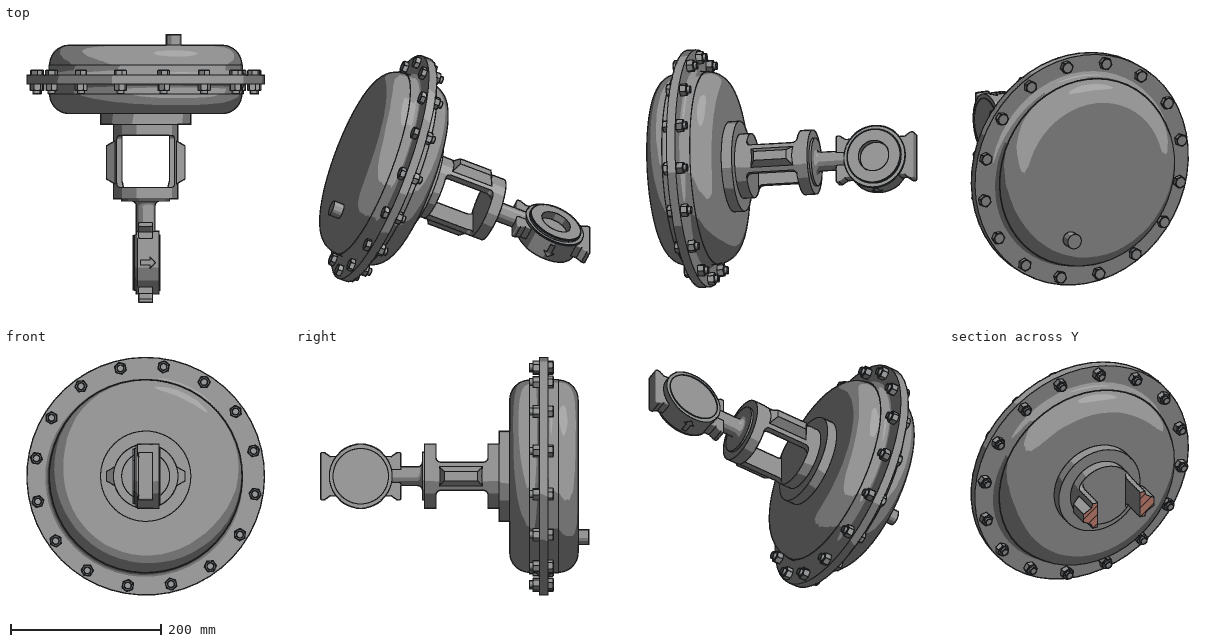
import cadquery as cq
import math


ARC_MIDPOINT = math.sqrt(0.5)

NIPPLE_END_Y = 303.98
CASING_TOP_Y = 289.9
FLANGE_TOP_Y = 249.8
FLANGE_BOTTOM_Y = 238.1
CASING_BOTTOM_Y = 198.5
PAD_END_Y = 184.3
WINDOW_TOP_Y = 169.5
WINDOW_BOTTOM_Y = 100.5
YOKE_END_Y = 84.9
BOSS_END_Y = 82.0

FLANGE_DIAMETER = 317.01
COLLAR_RADIUS = 129.1
DOME_OUTER_RADIUS = 128.3
DOME_ARC_RADIUS = 26.5
NECK_FILLET = 6.3
CASING_CLOCKING = 13.2

BOLT_COUNT = 16
BOLT_CIRCLE_RADIUS = 147.7
BOLT_DIAMETER = 9.525
BOLT_END_CHAMFER = 0.5
HEX_ACROSS_FLATS = 14.29
HEX_HALF_ANGLE = math.pi / 6
HEX_CHAMFER_ANGLE = math.radians(30)
HEX_CHAMFER_RATIO = 0.95
HEAD_HEIGHT = 6.8
HEAD_TURN = 30.0
NUT_HEIGHT = 8.8
BOLT_PROJECTION = 13.4

NIPPLE_RADIUS = 10.0
NIPPLE_X = 37.3
NIPPLE_Z = -81.1

PAD_RADIUS = 60.2
YOKE_RADIUS = 43.0
BOSS_RADIUS = 32.0
STRUT_HALF_WIDTH = 18.9
STRUT_INNER_X = 31.4
WINDOW_FILLET = 6.0
CORNER_WIDTH = 2.0
CORNER_RISE = 8.0
LUG_CENTER_Y = 133.6
LUG_LENGTH = 57.5
LUG_WIDTH = 25.4
LUG_BASE_X = 41.1
LUG_END_X = 52.5
LUG_DRAFT = 30.0

STEM_RADIUS = 12.7
STEM_FILLET = 6.0

BODY_RADIUS = 41.9
RIM_RADIUS = 42.8
RIM_START_X = -11.0
RIM_HALF_WIDTH = 26.6
RIM_FOOT_Y = 32.4
BODY_START_X = -12.6
BODY_END_X = 17.8
BORE_RADIUS = 20.8
BORE_DEPTH = 11.2
SEAT_RADIUS = 37.0
SEAT_LIP_RADIUS = 36.2
SEAT_LIP_HEIGHT = 1.7
SEAT_START_X = -16.9
SEAT_END_X = 18.9

EAR_THICKNESS = 18.6
EAR_END_Y = 53.4
EAR_HALF_HEIGHT = 31.8
EAR_CORNER_FILLET = 2.2
EAR_FOOT_Y = 48.5
EAR_NECK_Y = 40.9
EAR_NECK_HALF_HEIGHT = 26.5
EAR_EDGE_FILLET = 1.3

ARROW_TAIL_X = -6.6
ARROW_NECK_X = 5.8
ARROW_TIP_X = 13.1
ARROW_SHAFT_HALF_WIDTH = 3.3
ARROW_HEAD_HALF_WIDTH = 7.5
ARROW_HEIGHT = 0.3


def disc(start_y, end_y, radius, x=0.0, z=0.0):
    """Solid cylinder along Y between two stations."""
    return cq.Workplane("XZ", origin=(x, start_y, z)).circle(radius).extrude(start_y - end_y)


def make_casing():
    """Two domed halves joined by a common flange, revolved about Y."""
    flange_radius = FLANGE_DIAMETER / 2
    flat_radius = DOME_OUTER_RADIUS - DOME_ARC_RADIUS
    foot_radius = COLLAR_RADIUS + NECK_FILLET
    dome_mid = DOME_ARC_RADIUS * ARC_MIDPOINT
    neck_mid = NECK_FILLET * ARC_MIDPOINT
    dome_mid_radius = flat_radius + dome_mid
    neck_mid_radius = foot_radius - neck_mid
    upper_arc_y = CASING_TOP_Y - DOME_ARC_RADIUS
    lower_arc_y = CASING_BOTTOM_Y + DOME_ARC_RADIUS
    upper_neck_y = FLANGE_TOP_Y + NECK_FILLET
    lower_neck_y = FLANGE_BOTTOM_Y - NECK_FILLET
    profile = (
        cq.Workplane("XY")
        .moveTo(0, CASING_BOTTOM_Y)
        .lineTo(flat_radius, CASING_BOTTOM_Y)
        .threePointArc((dome_mid_radius, lower_arc_y - dome_mid), (DOME_OUTER_RADIUS, lower_arc_y))
        .lineTo(COLLAR_RADIUS, lower_arc_y)
        .lineTo(COLLAR_RADIUS, lower_neck_y)
        .threePointArc((neck_mid_radius, lower_neck_y + neck_mid), (foot_radius, FLANGE_BOTTOM_Y))
        .lineTo(flange_radius, FLANGE_BOTTOM_Y)
        .lineTo(flange_radius, FLANGE_TOP_Y)
        .lineTo(foot_radius, FLANGE_TOP_Y)
        .threePointArc((neck_mid_radius, upper_neck_y - neck_mid), (COLLAR_RADIUS, upper_neck_y))
        .lineTo(COLLAR_RADIUS, upper_arc_y)
        .lineTo(DOME_OUTER_RADIUS, upper_arc_y)
        .threePointArc((dome_mid_radius, upper_arc_y + dome_mid), (flat_radius, CASING_TOP_Y))
        .lineTo(0, CASING_TOP_Y)
        .close()
    )
    casing = profile.revolve(360, (0, 0, 0), (0, 1, 0))
    return casing.rotate((0, 0, 0), (0, 1, 0), -CASING_CLOCKING)


def hexagon(start_y, height, chamfered_face):
    """Hexagonal prism along -Y, one end trimmed by a shallow cone."""
    across_corners = HEX_ACROSS_FLATS / math.cos(HEX_HALF_ANGLE)
    prism = cq.Workplane("XZ", origin=(0, start_y, 0)).polygon(6, across_corners).extrude(height)
    drop = (across_corners - HEX_CHAMFER_RATIO * HEX_ACROSS_FLATS) / 2
    blank = disc(start_y, start_y - height, across_corners / 2)
    blank = blank.faces(chamfered_face).chamfer(drop * math.tan(HEX_CHAMFER_ANGLE), drop)
    return prism.intersect(blank)


def make_bolt():
    """Bolt head above the flange, nut and threaded end below it."""
    head = hexagon(FLANGE_TOP_Y + HEAD_HEIGHT, HEAD_HEIGHT, ">Y")
    head = head.rotate((0, 0, 0), (0, 1, 0), HEAD_TURN)
    nut = hexagon(FLANGE_BOTTOM_Y, NUT_HEIGHT, "<Y")
    shank = disc(FLANGE_TOP_Y, FLANGE_BOTTOM_Y - BOLT_PROJECTION, BOLT_DIAMETER / 2)
    shank = shank.faces("<Y").chamfer(BOLT_END_CHAMFER)
    return shank.union(head).union(nut).translate((BOLT_CIRCLE_RADIUS, 0, 0))


def make_yoke():
    """Mounting pad and cylindrical yoke with a through window between two struts."""
    yoke = disc(CASING_BOTTOM_Y, PAD_END_Y, PAD_RADIUS)
    yoke = yoke.union(disc(PAD_END_Y, YOKE_END_Y, YOKE_RADIUS))

    window_height = WINDOW_TOP_Y - WINDOW_BOTTOM_Y
    window_y = (WINDOW_TOP_Y + WINDOW_BOTTOM_Y) / 2
    opening_outline = [
        (-STRUT_INNER_X, WINDOW_TOP_Y),
        (-STRUT_INNER_X, WINDOW_BOTTOM_Y + CORNER_RISE),
        (CORNER_WIDTH - STRUT_INNER_X, WINDOW_BOTTOM_Y),
        (STRUT_INNER_X - CORNER_WIDTH, WINDOW_BOTTOM_Y),
        (STRUT_INNER_X, WINDOW_BOTTOM_Y + CORNER_RISE),
        (STRUT_INNER_X, WINDOW_TOP_Y),
    ]
    opening = cq.Workplane("XY").polyline(opening_outline).close().extrude(YOKE_RADIUS, both=True)
    yoke = yoke.cut(opening)

    for side in (1, -1):
        relief = cq.Workplane("XY").box(2 * YOKE_RADIUS, window_height, YOKE_RADIUS)
        inner_face = "<Z" if side > 0 else ">Z"
        relief = relief.faces(inner_face).edges("|X").fillet(WINDOW_FILLET)
        relief_z = side * (STRUT_HALF_WIDTH + YOKE_RADIUS / 2)
        yoke = yoke.cut(relief.translate((0, window_y, relief_z)))

    return yoke.union(make_lugs())


def make_lugs():
    """Drafted rectangular lugs on the outside of the two struts."""
    lug = (
        cq.Workplane("YZ", origin=(LUG_BASE_X, LUG_CENTER_Y, 0))
        .rect(LUG_LENGTH, LUG_WIDTH)
        .extrude(LUG_END_X - LUG_BASE_X, taper=LUG_DRAFT)
    )
    root = (
        cq.Workplane("YZ", origin=(STRUT_INNER_X, LUG_CENTER_Y, 0))
        .rect(LUG_LENGTH, LUG_WIDTH)
        .extrude(LUG_BASE_X - STRUT_INNER_X)
    )
    lug = lug.union(root)
    return lug.union(lug.mirror("YZ"))


def make_stem():
    """End boss of the yoke and the stem running down into the valve body."""
    stem_end_y = BORE_RADIUS + BORE_DEPTH
    fillet_mid = STEM_FILLET * (1 - ARC_MIDPOINT)
    profile = (
        cq.Workplane("XY")
        .moveTo(0, YOKE_END_Y)
        .lineTo(BOSS_RADIUS, YOKE_END_Y)
        .lineTo(BOSS_RADIUS, BOSS_END_Y)
        .lineTo(STEM_RADIUS + STEM_FILLET, BOSS_END_Y)
        .threePointArc(
            (STEM_RADIUS + fillet_mid, BOSS_END_Y - fillet_mid),
            (STEM_RADIUS, BOSS_END_Y - STEM_FILLET),
        )
        .lineTo(STEM_RADIUS, stem_end_y)
        .lineTo(0, stem_end_y)
        .close()
    )
    return profile.revolve(360, (0, 0, 0), (0, 1, 0))


def make_ear():
    """Flared mounting ear on the stem side, rounded along its outline."""
    outline = [
        (0, EAR_NECK_HALF_HEIGHT),
        (EAR_NECK_Y, EAR_NECK_HALF_HEIGHT),
        (EAR_FOOT_Y, EAR_HALF_HEIGHT),
        (EAR_END_Y, EAR_HALF_HEIGHT),
    ]
    mirrored = [(y, -z) for y, z in reversed(outline)]
    ear = cq.Workplane("YZ", origin=(-EAR_THICKNESS / 2, 0, 0)).polyline(outline + mirrored).close()
    ear = ear.extrude(EAR_THICKNESS)
    ear = ear.faces(">Y").edges("|X").fillet(EAR_CORNER_FILLET)
    return ear.faces("<X or >X").edges().fillet(EAR_EDGE_FILLET)


def make_rim():
    """Raised rim on top of the valve body, falling off along flats to the body cylinder."""
    edge_z = math.sqrt(RIM_RADIUS ** 2 - RIM_HALF_WIDTH ** 2)
    foot_z = math.sqrt(BODY_RADIUS ** 2 - RIM_FOOT_Y ** 2)
    return (
        cq.Workplane("YZ", origin=(RIM_START_X, 0, 0))
        .moveTo(-RIM_FOOT_Y, foot_z)
        .lineTo(-RIM_HALF_WIDTH, edge_z)
        .threePointArc((0, RIM_RADIUS), (RIM_HALF_WIDTH, edge_z))
        .lineTo(RIM_FOOT_Y, foot_z)
        .close()
        .extrude(BODY_END_X - RIM_START_X)
    )


def make_arrow():
    """Flow arrow pointing to +X, raised from the top rim of the valve body."""
    upper_edge = [
        (ARROW_TAIL_X, ARROW_SHAFT_HALF_WIDTH),
        (ARROW_NECK_X, ARROW_SHAFT_HALF_WIDTH),
        (ARROW_NECK_X, ARROW_HEAD_HALF_WIDTH),
    ]
    lower_edge = [(x, -y) for x, y in reversed(upper_edge)]
    outline = upper_edge + [(ARROW_TIP_X, 0)] + lower_edge
    arrow = cq.Workplane("XY").polyline(outline).close().extrude(2 * RIM_RADIUS)
    envelope = (
        cq.Workplane("YZ", origin=(RIM_START_X, 0, 0))
        .circle(RIM_RADIUS + ARROW_HEIGHT)
        .extrude(BODY_END_X - RIM_START_X)
    )
    return arrow.intersect(envelope)


def make_valve():
    """Wafer valve body with stepped seats, raised rims with flow arrows and two ears."""
    half_profile = [
        (SEAT_START_X, 0),
        (SEAT_START_X, SEAT_LIP_RADIUS),
        (SEAT_START_X + SEAT_LIP_HEIGHT, SEAT_LIP_RADIUS),
        (SEAT_START_X + SEAT_LIP_HEIGHT, SEAT_RADIUS),
        (BODY_START_X, SEAT_RADIUS),
        (BODY_START_X, BODY_RADIUS),
        (BODY_END_X, BODY_RADIUS),
        (BODY_END_X, SEAT_RADIUS),
        (SEAT_END_X, SEAT_RADIUS),
        (SEAT_END_X, 0),
    ]
    body = cq.Workplane("XY").polyline(half_profile).close().revolve(360, (0, 0, 0), (1, 0, 0))
    ear = make_ear()
    rim = make_rim().union(make_arrow())
    body = body.union(rim).union(rim.mirror("XY"))
    return body.union(ear).union(ear.mirror("XZ"))


def cut_bore(part):
    """Open the blind valve bore from the -X seat."""
    bore = cq.Workplane("YZ", origin=(SEAT_START_X, 0, 0)).circle(BORE_RADIUS).extrude(BORE_DEPTH)
    return part.cut(bore)


def add_bolts(part):
    """Bolt circle of the casing flange."""
    bolt = make_bolt()
    for index in range(BOLT_COUNT):
        angle = CASING_CLOCKING + index * 360 / BOLT_COUNT
        part = part.union(bolt.rotate((0, 0, 0), (0, 1, 0), -angle))
    return part


result = make_yoke().union(make_stem()).union(make_valve())
result = cut_bore(result)
result = result.union(make_casing())
result = result.union(disc(NIPPLE_END_Y, CASING_TOP_Y, NIPPLE_RADIUS, NIPPLE_X, NIPPLE_Z))
result = add_bolts(result)